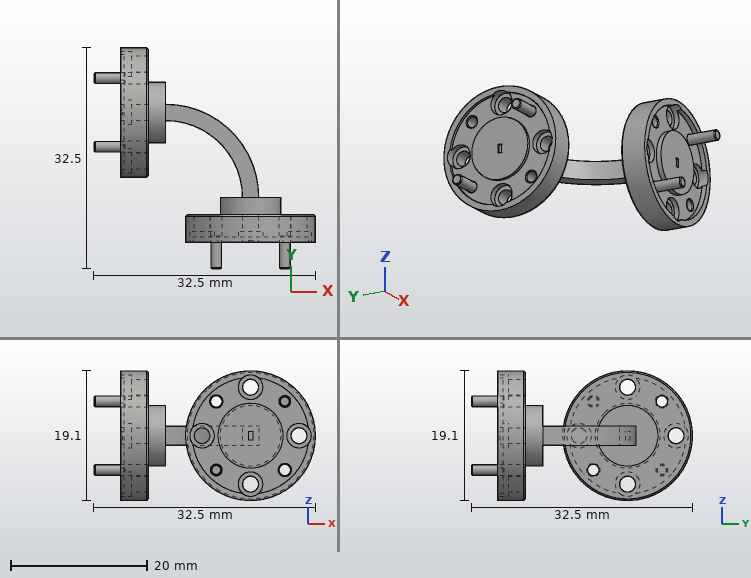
import cadquery as cq
import math

flange_diameter = 19.05
flange_thickness = 4.06
flange_chamfer = 0.25
hub_diameter = 8.9
hub_length = 2.55

recess_diameter = 17.1
pad_diameter = 9.525
front_recess_depth = 0.8
side_recess_depth = 0.5

pitch_diameter = 14.22
screw_hole_diameter = 2.3
counterbore_diameter = 3.6
counterbore_depth = 1.6
dowel_hole_diameter = 1.65
dowel_hole_chamfer = 0.15
pin_diameter = 1.6
pin_projection = 3.875
pin_chamfer = 0.15
pin_seat_chamfer = 0.07

aperture_width = 0.65
aperture_height = 1.3
aperture_depth = 0.3

tube_width = 2.42
tube_height = 2.84
bend_angle = 90

face_to_axis = 19.05
flange_rear = flange_thickness - face_to_axis
hub_end = flange_rear + hub_length


def cylinder(diameter, start, length, x=0.0, z=0.0):
    """Cylinder along +Y from Y = start, centred on (x, z)."""
    base = cq.Workplane("XZ", origin=(x, start, z))
    return base.circle(diameter / 2).extrude(-length)


def on_pitch_circle(angle):
    """X and Z of a point on the pitch circle."""
    radius = pitch_diameter / 2
    turn = math.radians(angle)
    return radius * math.cos(turn), radius * math.sin(turn)


def cut_face_recess(body, recess_depth):
    pad = cylinder(pad_diameter, -face_to_axis, recess_depth)
    recess = cylinder(recess_diameter, -face_to_axis, recess_depth).cut(pad)
    return body.cut(recess)


def cut_screw_hole(body, angle):
    x, z = on_pitch_circle(angle)
    hole = cylinder(screw_hole_diameter, -face_to_axis, flange_thickness, x, z)
    counterbore = cylinder(counterbore_diameter, -face_to_axis, counterbore_depth, x, z)
    return body.cut(hole).cut(counterbore)


def mouth_cone(diameter, chamfer, floor, x, z):
    """Cone that chamfers the mouth of a hole opening at Y = floor."""
    radius = diameter / 2
    mouth_centre = cq.Vector(x, floor, z)
    return cq.Solid.makeCone(radius + chamfer, radius, chamfer, mouth_centre, cq.Vector(0, 1, 0))


def cut_dowel_hole(body, angle, floor):
    x, z = on_pitch_circle(angle)
    hole = cylinder(dowel_hole_diameter, floor, flange_rear - floor, x, z)
    mouth = mouth_cone(dowel_hole_diameter, dowel_hole_chamfer, floor, x, z)
    return body.cut(hole).cut(mouth)


def add_pin(body, angle, floor):
    """Pin through the flange, with a fine chamfer around it where it leaves the recess floor."""
    x, z = on_pitch_circle(angle)
    length = pin_projection + flange_thickness
    pin = cylinder(pin_diameter, -face_to_axis - pin_projection, length, x, z)
    pin = pin.faces("<Y").chamfer(pin_chamfer)
    seat = mouth_cone(pin_diameter, pin_seat_chamfer, floor, x, z)
    return body.cut(seat).union(pin)


def cut_aperture(body):
    mouth = cq.Workplane("XZ", origin=(0, -face_to_axis, 0))
    return body.cut(mouth.rect(aperture_width, aperture_height).extrude(-aperture_depth))


def make_flange(recess_depth):
    """Flange on the Y axis, with its mating face toward -Y."""
    floor = recess_depth - face_to_axis
    body = cylinder(flange_diameter, -face_to_axis, flange_thickness)
    body = body.faces(">Y").edges().chamfer(flange_chamfer)
    body = body.union(cylinder(hub_diameter, flange_rear, hub_length))
    body = cut_face_recess(body, recess_depth)
    for angle in (0, 90, 180, 270):
        body = cut_screw_hole(body, angle)
    for angle in (135, 315):
        body = cut_dowel_hole(body, angle, floor)
    for angle in (45, 225):
        body = add_pin(body, angle, floor)
    return cut_aperture(body)


def make_tube():
    """Rectangular quarter bend joining the two hubs."""
    section = cq.Workplane("XZ", origin=(0, hub_end, 0)).rect(tube_width, tube_height)
    return section.revolve(bend_angle, (hub_end, 0, 0), (hub_end, 1, 0))


front_flange = make_flange(front_recess_depth)
side_flange = make_flange(side_recess_depth).rotate((0, 0, 0), (0, 0, 1), -bend_angle)
result = front_flange.union(side_flange).union(make_tube())